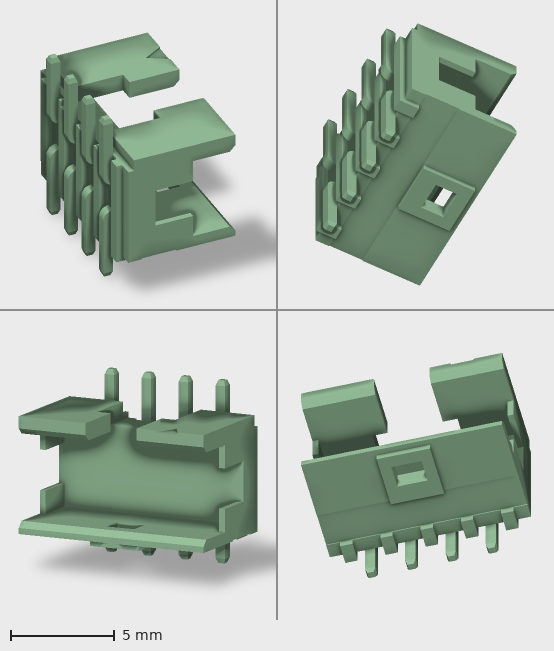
import cadquery as cq
import math


HOUSING_WIDTH = 10.0
HOUSING_DEPTH = 5.7
HOUSING_TOP = 3.05
HOUSING_BOTTOM = -2.75
CAVITY_HALF_HEIGHT = 2.15
CAVITY_FLOOR = 1.45
SIDE_WALL = 0.3
SIDE_WALL_END = 3.45
MOUTH_CHAMFER = 0.3
SIDE_WINDOW_HALF_HEIGHT = 1.0

STEP_DEPTH = 0.3
STEP_LEVEL = 2.45

PITCH = 2.0
RIB_COUNT = 5
RIB_WIDTH = 0.61
RIB_HEIGHT = 0.3
FOOT_HEIGHT = 0.3
FOOT_LENGTH = 0.74
FOOT_BOTTOM = HOUSING_BOTTOM - FOOT_HEIGHT

SLOT_WIDTH = 2.76
SLOT_WIDE_WIDTH = 4.22
SLOT_WIDE_END = 3.04

KEY_WIDTH = 2.64
KEY_LENGTH = 2.79
KEY_SETBACK = 0.33
KEY_FRONT = HOUSING_DEPTH - KEY_SETBACK
KEY_REAR = KEY_FRONT - KEY_LENGTH
LATCH_WIDTH = 1.5
LATCH_LENGTH = 1.2
LATCH_SETBACK = 0.96

RELIEF_DEPTH = 0.06

MARK_SIDE = 1.2
MARK_DEPTH = 0.1

TAILS_PER_ROW = 4
TAIL_THICKNESS = 0.51
TAIL_SPACING = 2.0
TAIL_END = 4.5
TIP_LENGTH = 0.25
TIP_WIDTH = 0.32


def block(x_range, y_range, z_range):
    """Rectangular block between the given limits."""
    (x0, x1), (y0, y1), (z0, z1) = x_range, y_range, z_range
    return cq.Workplane("XY").box(x1 - x0, y1 - y0, z1 - z0, centered=False).translate((x0, y0, z0))


def centred(width):
    """Limits of a span of the given width centred on zero."""
    return (-width / 2, width / 2)


def row_positions(count):
    """X positions of a centred row at the contact pitch."""
    return [(i - (count - 1) / 2) * PITCH for i in range(count)]


def side_extrusion(points, width):
    """Outline in (Y, Z) extruded along X, centred on X = 0."""
    return cq.Workplane("YZ").polyline(points).close().extrude(width / 2, both=True)


def make_shell():
    """C-shaped housing body: base wall, top and bottom walls and short side walls."""
    chamfer_start = HOUSING_DEPTH - MOUTH_CHAMFER
    lip = CAVITY_HALF_HEIGHT + MOUTH_CHAMFER
    shell = side_extrusion(
        [
            (0, HOUSING_BOTTOM),
            (HOUSING_DEPTH, HOUSING_BOTTOM),
            (HOUSING_DEPTH, -lip),
            (chamfer_start, -CAVITY_HALF_HEIGHT),
            (CAVITY_FLOOR, -CAVITY_HALF_HEIGHT),
            (CAVITY_FLOOR, CAVITY_HALF_HEIGHT),
            (chamfer_start, CAVITY_HALF_HEIGHT),
            (HOUSING_DEPTH, lip),
            (HOUSING_DEPTH, HOUSING_TOP),
            (STEP_DEPTH, HOUSING_TOP),
            (STEP_DEPTH, STEP_LEVEL),
            (0, STEP_LEVEL),
        ],
        HOUSING_WIDTH,
    )
    for z_range in (
        (SIDE_WINDOW_HALF_HEIGHT, CAVITY_HALF_HEIGHT),
        (-CAVITY_HALF_HEIGHT, -SIDE_WINDOW_HALF_HEIGHT),
    ):
        for x_range in (
            (-HOUSING_WIDTH / 2, -HOUSING_WIDTH / 2 + SIDE_WALL),
            (HOUSING_WIDTH / 2 - SIDE_WALL, HOUSING_WIDTH / 2),
        ):
            shell = shell.union(block(x_range, (CAVITY_FLOOR, SIDE_WALL_END), z_range))
    return shell


def make_ribs():
    """Upright ribs on the base face, each with a foot that wraps under the housing."""
    rib = side_extrusion(
        [
            (-RIB_HEIGHT, FOOT_BOTTOM),
            (FOOT_LENGTH, FOOT_BOTTOM),
            (FOOT_LENGTH, HOUSING_BOTTOM),
            (0, HOUSING_BOTTOM),
            (0, STEP_LEVEL),
            (-RIB_HEIGHT, STEP_LEVEL),
        ],
        RIB_WIDTH,
    )
    return [rib.translate((x, 0, 0)) for x in row_positions(RIB_COUNT)]


def make_key():
    """Flat key under the bottom wall."""
    return block(centred(KEY_WIDTH), (KEY_REAR, KEY_FRONT), (FOOT_BOTTOM, HOUSING_BOTTOM))


def make_relief_cutter():
    """Shallow full-width channel in the underside between the feet and the key."""
    z_range = (HOUSING_BOTTOM, HOUSING_BOTTOM + RELIEF_DEPTH)
    return block(centred(HOUSING_WIDTH), (FOOT_LENGTH, KEY_REAR), z_range)


def make_slot_cutter():
    """T-shaped slot through the top wall, down to the level of the cavity roof."""
    z_range = (CAVITY_HALF_HEIGHT, HOUSING_TOP)
    narrow = block(centred(SLOT_WIDTH), (SLOT_WIDE_END, HOUSING_DEPTH), z_range)
    wide = block(centred(SLOT_WIDE_WIDTH), (-RIB_HEIGHT, SLOT_WIDE_END), z_range)
    return narrow.union(wide)


def make_latch_cutter():
    """Rectangular window through the bottom wall and the key."""
    latch_end = HOUSING_DEPTH - LATCH_SETBACK
    y_range = (latch_end - LATCH_LENGTH, latch_end)
    return block(centred(LATCH_WIDTH), y_range, (FOOT_BOTTOM, -CAVITY_HALF_HEIGHT))


def make_mark_cutter():
    """Shallow triangle at the mouth edge of the top wall, in line with the first contact."""
    mark_x = row_positions(TAILS_PER_ROW)[0]
    mark_length = MARK_SIDE * math.sqrt(3) / 2
    return (
        cq.Workplane("XY", origin=(mark_x, HOUSING_DEPTH, HOUSING_TOP - MARK_DEPTH))
        .polyline([(-MARK_SIDE / 2, 0), (MARK_SIDE / 2, 0), (0, -mark_length)])
        .close()
        .extrude(MARK_DEPTH)
    )


def make_housing():
    """Complete one-piece housing."""
    housing = make_shell().union(make_key())
    for rib in make_ribs():
        housing = housing.union(rib)
    for cutter in (make_slot_cutter(), make_latch_cutter(), make_relief_cutter(), make_mark_cutter()):
        housing = housing.cut(cutter)
    return housing


def make_tail():
    """Upper-row tail at X = 0: a square bar with a rounded bend and a tapered tip."""
    bend_start = (TAIL_SPACING - TAIL_THICKNESS) / 2
    bend_end = bend_start + TAIL_THICKNESS
    tip_start = TAIL_END - TIP_LENGTH
    bend_mid = TAIL_THICKNESS * math.sqrt(0.5)
    bar = (
        cq.Workplane("YZ")
        .moveTo(0, bend_start)
        .threePointArc((-bend_mid, bend_end - bend_mid), (-TAIL_THICKNESS, bend_end))
        .lineTo(-TAIL_THICKNESS, tip_start)
        .lineTo(0, tip_start)
        .close()
        .extrude(TAIL_THICKNESS / 2, both=True)
    )
    tip = (
        cq.Workplane("XY", origin=(0, -TAIL_THICKNESS / 2, tip_start))
        .rect(TAIL_THICKNESS, TAIL_THICKNESS)
        .workplane(offset=TIP_LENGTH)
        .rect(TIP_WIDTH, TIP_WIDTH)
        .loft(ruled=True)
    )
    return bar.union(tip)


def make_tails():
    """Both rows of tails; the lower row mirrors the upper one."""
    upper = make_tail()
    lower = upper.mirror("XY")
    return [row.translate((x, 0, 0)).val() for row in (upper, lower) for x in row_positions(TAILS_PER_ROW)]


housing = make_housing()
tails = make_tails()

result = cq.Compound.makeCompound([housing.val(), *tails])